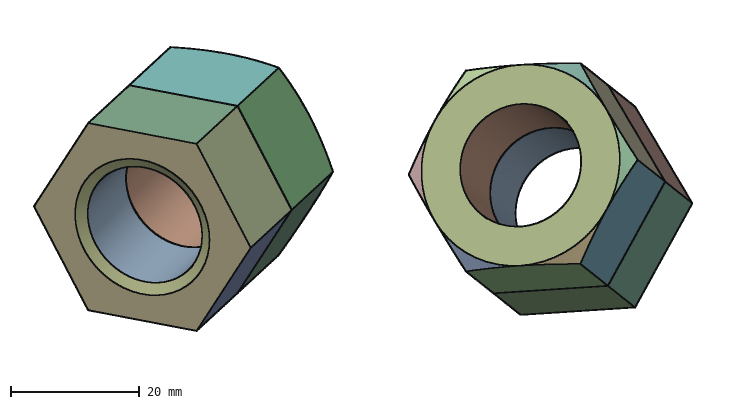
import cadquery as cq
import math

ACROSS_CORNERS = 36.95
TOTAL_LENGTH = 32.3
FRONT_LENGTH = 15.3
JOINT_GAP = 0.1
ACROSS_FLATS = ACROSS_CORNERS * math.cos(math.radians(30))
BACK_START = FRONT_LENGTH + JOINT_GAP
BACK_LENGTH = TOTAL_LENGTH - BACK_START

BORE_DIAMETER = 19.5
COUNTERSINK_DIAMETER = 22.9
COUNTERSINK_ANGLE = 120.0

CORNER_CHAMFER_ANGLE = 30.0


def hex_tube(start, length):
    """Hexagonal prism with the bore through it, running toward +Y from Y = start."""
    return (
        cq.Workplane("XZ", origin=(0, start, 0))
        .polygon(6, ACROSS_CORNERS)
        .circle(BORE_DIAMETER / 2)
        .extrude(-length)
    )


def countersink_cone():
    """Solid cone that opens the bore at the front face."""
    radius = COUNTERSINK_DIAMETER / 2
    depth = radius / math.tan(math.radians(COUNTERSINK_ANGLE / 2))
    return (
        cq.Workplane("XY")
        .polyline([(0, 0), (radius, 0), (0, depth)])
        .close()
        .revolve(360, (0, 0, 0), (0, 1, 0))
    )


def corner_chamfer_ring():
    """Triangular ring outside the chamfer cone, which touches the flats at the back face."""
    flat_radius = ACROSS_FLATS / 2
    outer_radius = ACROSS_CORNERS
    drop = (outer_radius - flat_radius) * math.tan(math.radians(CORNER_CHAMFER_ANGLE))
    return (
        cq.Workplane("XY")
        .polyline([
            (flat_radius, TOTAL_LENGTH),
            (outer_radius, TOTAL_LENGTH),
            (outer_radius, TOTAL_LENGTH - drop),
        ])
        .close()
        .revolve(360, (0, 0, 0), (0, 1, 0))
    )


front_nut = hex_tube(0, FRONT_LENGTH).cut(countersink_cone())

back_nut = hex_tube(BACK_START, BACK_LENGTH).cut(corner_chamfer_ring())

result = cq.Compound.makeCompound([front_nut.val(), back_nut.val()])